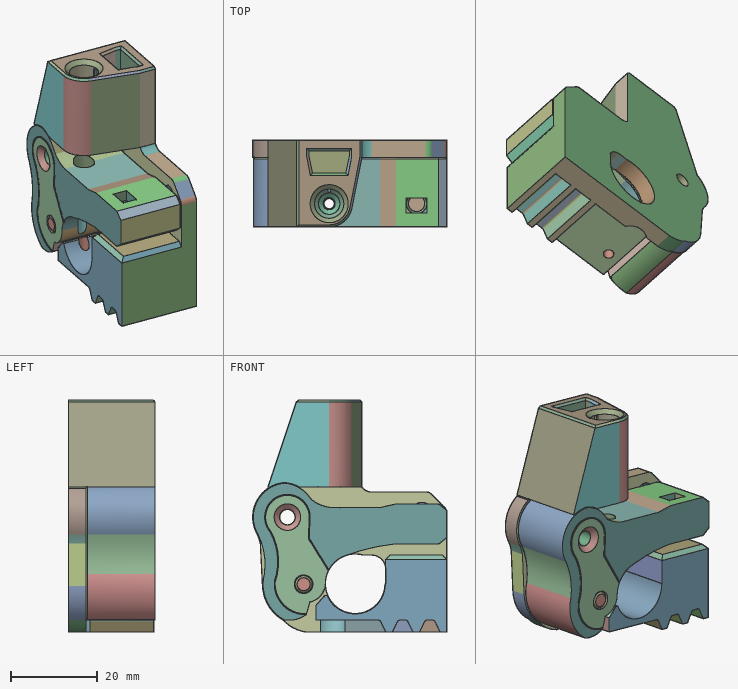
import cadquery as cq
import math

LENGTH = 44.7
DEPTH = 19.95
HEIGHT = 53.4
PLATE_THICKNESS = 4.0
PLATE_FRONT = DEPTH - PLATE_THICKNESS
CLEARANCE = 0.15

SCREW_X, SCREW_Z = 8.0, 26.4
PIN_X, PIN_Z = 11.75, 11.0
BORE_X, BORE_Z = 23.6, 11.1
FEED_X, FEED_Y = 17.6, 5.35

UPPER_RADIUS = SCREW_X
LOWER_RADIUS = 9.5
WAIST_Z = 22.35
WAIST_END = (1.75, 20.3)
FLOOR_START_X = 12.1
FLOOR_BLEND_X, FLOOR_BLEND_Z = 7.1, 2.65
PLATE_TOP = 32.25
PLATE_CHAMFER = 4.05
PLATE_CORNER_RADIUS = 1.85
STEP_FILLET_RUN = 2.3
BORE_RADIUS = 6.85
BORE_CORNER_RADIUS = 3.2
MAGNET_X, MAGNET_Z = 38.9, 27.6
MAGNET_RADIUS = 2.25
MAGNET_DEPTH = 3.0

TOWER_BASE = 33.35
TOWER_RIGHT = 25.15
TOWER_ROOT = 0.8
TOWER_TOP_LEFT = 10.2
TOWER_BASE_LEFT = 3.5
TOWER_NOSE_RADIUS = FEED_Y
TOWER_CHAMFER = 0.5
FEED_RADIUS = 3.35
FEED_MOUTH_RADIUS = 4.4
FEED_SEAT_RADIUS = 2.45
FEED_RIB_WIDTH = 0.55
FEED_RIB_HEIGHT = 0.7
FEED_RIB_DEPTH = 1.05
POCKET_BACK_WIDTH = 9.3
POCKET_FRONT_WIDTH = 7.65
POCKET_FRONT, POCKET_SHOULDER, POCKET_BACK = 12.4, 16.25, 17.5
POCKET_DEPTH = 10.7
POCKET_CHAMFER = 0.55

BLOCK_FRONT = 0.25
BLOCK_LEFT = 14.55
BLOCK_BOTTOM = 2.7
BLOCK_TOP = 17.65
BLOCK_INNER_X = 30.6
BLOCK_CHAMFER = 1.0
LIP_SIDE_TOP = 6.15
LIP_X, LIP_Z = 16.6, 8.45
BLOCK_BORE_RADIUS = 6.95
TOOTH_COUNT = 3
TOOTH_PITCH = 6.25
FIRST_TOOTH_X = 30.65
TOOTH_GROOVE_WIDTH = 4.75
TOOTH_FLANK_RUN = 1.35
TOOTH_GROOVE_FILLET = 0.55
BELT_RUNOUT = 2.65
RAIL_FRONT = 15.0
SCALLOP_X, SCALLOP_Y = 18.05, 13.15
SCALLOP_RADIUS = 3.75
FEED_EXIT_RADIUS = 1.2

LEVER_CHAMFER = 0.4
FEED_THROAT_RADIUS = 1.4
FUNNEL_BOTTOM = 23.5
SCREW_RADIUS = 1.75
SCREW_HEAD_RADIUS = 3.05
PIN_RADIUS = 2.0
PIN_TIP_CHAMFER = 0.5
PANEL_GROOVE_WIDTH = 0.2
PANEL_GROOVE_DEPTH = 0.25
PANEL_UPPER_RADIUS = 5.25
PANEL_LOWER_RADIUS = 6.8
NUT_LEFT, NUT_RIGHT = 35.35, 40.1
NUT_FRONT, NUT_BACK = 3.2, 6.65
NUT_DEPTH = 2.55
NUT_SEAT_Y = 5.4
NUT_SEAT_RADIUS = 2.35
NUT_SEAT_FLOOR_RADIUS = 1.85
ARM_TOP = 29.45
ARM_SADDLE = 28.6
ARM_BOTTOM = 20.25
ARM_TIP_X = 42.8
ARM_TIP_BEVEL = 1.5
PANEL_CORNER = (13.0, 21.55)
PANEL_BORE_POINT = (17.5, 14.35)
PANEL_BEYOND = ((21.35, 10.7), (17.1, 2.65))
TAIL_TIP = (12.35, 4.0)


def on_circle(center_x, center_y, radius, angle):
    """Point of a circle, angle in degrees counterclockwise from +X."""
    turn = math.radians(angle)
    return (center_x + radius * math.cos(turn), center_y + radius * math.sin(turn))


def tangent_point(center, radius, outside, side):
    """Where a line from an outside point touches a circle; side is 1 (counterclockwise) or -1."""
    run, rise = outside[0] - center[0], outside[1] - center[1]
    angle = math.atan2(rise, run) + side * math.acos(radius / math.hypot(run, rise))
    return on_circle(*center, radius, math.degrees(angle))


def left_of_circle(center_x, center_z, radius, z):
    """Left-hand point of a circle at height z."""
    return (center_x - math.sqrt(radius**2 - (z - center_z) ** 2), z)


def prism(outline, y_start, y_end):
    """Extrude an XZ outline from y_start back to y_end."""
    return outline.extrude(y_start - y_end).translate((0, y_start, 0))


def cross_cylinder(x, z, radius, y_start, y_end):
    """Cylinder along Y."""
    return prism(cq.Workplane("XZ").center(x, z).circle(radius), y_start, y_end)


def upright_cylinder(x, y, radius, z_start, z_end):
    """Cylinder along Z."""
    return cq.Workplane("XY").workplane(offset=z_start).center(x, y).circle(radius).extrude(z_end - z_start)


def upright_cone(x, y, z_low, radius_low, z_high, radius_high):
    """Cone frustum along Z."""
    return cq.Workplane(cq.Solid.makeCone(
        radius_low, radius_high, z_high - z_low, pnt=cq.Vector(x, y, z_low)))


def lever_outline():
    upper = UPPER_RADIUS - CLEARANCE
    lower = LOWER_RADIUS - CLEARANCE
    return (
        cq.Workplane("XZ")
        .moveTo(*left_of_circle(SCREW_X, SCREW_Z, upper, WAIST_Z))
        .threePointArc((SCREW_X - upper, SCREW_Z), on_circle(SCREW_X, SCREW_Z, upper, 95))
        .threePointArc((10.4, 33.35), (12.35, 32.0))
        .lineTo(13.7, 30.3)
        .threePointArc((15.75, 29.2), (18.25, ARM_SADDLE))
        .lineTo(29.3, ARM_SADDLE)
        .lineTo(33.0, ARM_TOP)
        .lineTo(ARM_TIP_X, ARM_TOP)
        .lineTo(LENGTH, ARM_TOP - ARM_TIP_BEVEL)
        .lineTo(LENGTH, ARM_BOTTOM + ARM_TIP_BEVEL)
        .lineTo(ARM_TIP_X, ARM_BOTTOM)
        .lineTo(32.45, ARM_BOTTOM)
        .threePointArc((26.7, 19.2), on_circle(BORE_X, BORE_Z, BORE_RADIUS, 107))
        .threePointArc(on_circle(BORE_X, BORE_Z, BORE_RADIUS, 140),
                       on_circle(BORE_X, BORE_Z, BORE_RADIUS, 176))
        .threePointArc((15.3, 8.0), (13.2, 6.9))
        .lineTo(*TAIL_TIP)
        .threePointArc((9.9, 2.9), (7.15, 2.85))
        .threePointArc(on_circle(PIN_X, PIN_Z, lower, 205),
                       left_of_circle(PIN_X, PIN_Z, lower, 13.35))
        .threePointArc((2.85, 16.55), left_of_circle(SCREW_X, SCREW_Z, upper, WAIST_Z))
        .close()
    )


def plate():
    waist = left_of_circle(SCREW_X, SCREW_Z, UPPER_RADIUS, WAIST_Z)
    chamfer_start = (LENGTH - PLATE_CHAMFER, PLATE_TOP)
    chamfer_end = (LENGTH, PLATE_TOP - PLATE_CHAMFER)
    outline = (
        cq.Workplane("XZ")
        .moveTo(*waist)
        .threePointArc((0, SCREW_Z), on_circle(SCREW_X, SCREW_Z, UPPER_RADIUS, 124))
        .lineTo(TOWER_BASE_LEFT, TOWER_BASE)
        .lineTo(FEED_X, TOWER_BASE + TOWER_ROOT)
        .lineTo(TOWER_RIGHT, TOWER_BASE + TOWER_ROOT)
        .lineTo(TOWER_RIGHT, TOWER_BASE)
        .threePointArc((26.05, 32.55), (TOWER_RIGHT + STEP_FILLET_RUN, PLATE_TOP))
        .lineTo(*chamfer_start)
        .lineTo(*chamfer_end)
        .lineTo(LENGTH, 0)
        .lineTo(FLOOR_START_X, 0)
        .threePointArc((9.9, 0.7), (FLOOR_BLEND_X, FLOOR_BLEND_Z))
        .threePointArc(on_circle(PIN_X, PIN_Z, LOWER_RADIUS, 205),
                       tangent_point((PIN_X, PIN_Z), LOWER_RADIUS, WAIST_END, 1))
        .lineTo(*WAIST_END)
        .threePointArc((1.5, 21.3), waist)
        .close()
    )
    body = prism(outline, PLATE_FRONT, DEPTH)
    for x, z in (chamfer_start, chamfer_end):
        corner_edge = cq.selectors.NearestToPointSelector((x, PLATE_FRONT + PLATE_THICKNESS / 2, z))
        body = body.edges("|Y").edges(corner_edge).fillet(PLATE_CORNER_RADIUS)
    bore = cross_cylinder(BORE_X, BORE_Z, BORE_RADIUS, PLATE_FRONT, DEPTH)
    corner = (
        cq.Workplane("XY")
        .box(BLOCK_INNER_X - BORE_X, PLATE_THICKNESS, BLOCK_TOP - BORE_Z, centered=False)
        .edges("|Y and >X and >Z").fillet(BORE_CORNER_RADIUS)
        .translate((BORE_X, PLATE_FRONT, BORE_Z))
    )
    magnet = cross_cylinder(MAGNET_X, MAGNET_Z, MAGNET_RADIUS, PLATE_FRONT, PLATE_FRONT + MAGNET_DEPTH)
    screw = cross_cylinder(SCREW_X, SCREW_Z, SCREW_RADIUS, PLATE_FRONT, DEPTH)
    return body.cut(bore).cut(corner).cut(magnet).cut(screw)


def tower_pocket():
    def outline(grow):
        wide = POCKET_BACK_WIDTH / 2 + grow
        narrow = POCKET_FRONT_WIDTH / 2 + grow
        points = [
            (FEED_X - wide, POCKET_BACK + grow),
            (FEED_X + wide, POCKET_BACK + grow),
            (FEED_X + wide, POCKET_SHOULDER),
            (FEED_X + narrow, POCKET_FRONT - grow),
            (FEED_X - narrow, POCKET_FRONT - grow),
            (FEED_X - wide, POCKET_SHOULDER),
        ]
        return cq.Wire.makePolygon([cq.Vector(x, y, 0) for x, y in points], close=True)

    shaft = cq.Workplane(outline(0)).toPending().extrude(POCKET_DEPTH)
    shaft = shaft.translate((0, 0, HEIGHT - POCKET_DEPTH))
    mouth = cq.Solid.makeLoft([
        outline(0).translate(cq.Vector(0, 0, HEIGHT - POCKET_CHAMFER)),
        outline(POCKET_CHAMFER).translate(cq.Vector(0, 0, HEIGHT)),
    ], True)
    return shaft.union(cq.Workplane(mouth))


def tower():
    side = prism(
        cq.Workplane("XZ").polyline([
            (TOWER_BASE_LEFT, TOWER_BASE),
            (TOWER_TOP_LEFT, HEIGHT),
            (TOWER_RIGHT, HEIGHT),
            (TOWER_RIGHT, TOWER_BASE),
        ]).close(), 0, DEPTH)
    flank_end = tangent_point((FEED_X, FEED_Y), TOWER_NOSE_RADIUS, (TOWER_RIGHT, PLATE_FRONT), -1)
    plan = (
        cq.Workplane("XY").workplane(offset=TOWER_BASE)
        .moveTo(0, 0)
        .lineTo(FEED_X, 0)
        .threePointArc(on_circle(FEED_X, FEED_Y, TOWER_NOSE_RADIUS, -50), flank_end)
        .lineTo(TOWER_RIGHT, PLATE_FRONT)
        .lineTo(TOWER_RIGHT, DEPTH)
        .lineTo(0, DEPTH)
        .close()
        .extrude(HEIGHT - TOWER_BASE)
    )
    body = side.intersect(plan)
    body = body.faces(">Z").edges("not >Y").chamfer(TOWER_CHAMFER)
    mouth_depth = FEED_MOUTH_RADIUS - FEED_RADIUS
    seat_top = TOWER_BASE + FEED_RADIUS - FEED_SEAT_RADIUS
    seat = upright_cone(FEED_X, FEED_Y, TOWER_BASE, FEED_SEAT_RADIUS, seat_top, FEED_RADIUS)
    bore = upright_cylinder(FEED_X, FEED_Y, FEED_RADIUS, seat_top, HEIGHT)
    mouth = upright_cone(FEED_X, FEED_Y, HEIGHT - mouth_depth, FEED_RADIUS, HEIGHT, FEED_MOUTH_RADIUS)
    lever_room = prism(lever_outline().offset2D(CLEARANCE), 0, PLATE_FRONT)
    body = body.cut(bore).cut(seat).cut(mouth).cut(tower_pocket()).cut(lever_room)
    rib = cq.Workplane("XY").box(
        FEED_RIB_WIDTH, FEED_RIB_DEPTH, HEIGHT - mouth_depth - TOWER_BASE, centered=(True, False, False))
    rib_front = FEED_Y + FEED_RADIUS - FEED_RIB_HEIGHT
    return body.union(rib.translate((FEED_X, rib_front, TOWER_BASE)))


def belt_groove(start_x, end_x):
    """Groove under the block with sloping flanks, start_x and end_x being its width at the bottom."""
    outline = cq.Workplane("XZ").polyline([
        (start_x, 0),
        (start_x + TOOTH_FLANK_RUN, BLOCK_BOTTOM),
        (end_x - TOOTH_FLANK_RUN, BLOCK_BOTTOM),
        (end_x, 0),
    ]).close()
    return prism(outline, 0, RAIL_FRONT).faces(">Z").edges("|Y").fillet(TOOTH_GROOVE_FILLET)


def toothed_block():
    base = prism(
        cq.Workplane("XZ").polyline([
            (BLOCK_LEFT, 0),
            (BLOCK_LEFT, LIP_SIDE_TOP),
            (LIP_X, LIP_Z),
            (BORE_X, LIP_Z),
            (BORE_X, BORE_Z),
            (LENGTH, BORE_Z),
            (LENGTH, 0),
        ]).close(), BLOCK_FRONT, PLATE_FRONT)
    jaw = (
        cq.Workplane("XY")
        .box(LENGTH - BLOCK_INNER_X, PLATE_FRONT - BLOCK_FRONT, BLOCK_TOP - BORE_Z, centered=False)
        .faces(">Z").edges("not >Y").chamfer(BLOCK_CHAMFER)
        .translate((BLOCK_INNER_X, BLOCK_FRONT, BORE_Z))
    )
    body = base.union(jaw)
    body = body.cut(cross_cylinder(BORE_X, BORE_Z, BLOCK_BORE_RADIUS, 0, PLATE_FRONT))
    body = body.cut(belt_groove(BLOCK_LEFT - BELT_RUNOUT, FIRST_TOOTH_X))
    for index in range(1, TOOTH_COUNT):
        groove_end = FIRST_TOOTH_X + index * TOOTH_PITCH
        body = body.cut(belt_groove(groove_end - TOOTH_GROOVE_WIDTH, groove_end))
    rail_relief = cq.Workplane("XY").box(
        SCALLOP_X - BLOCK_LEFT, PLATE_FRONT - RAIL_FRONT, BLOCK_BOTTOM, centered=False)
    body = body.cut(rail_relief.translate((BLOCK_LEFT, RAIL_FRONT, 0)))
    return body.cut(upright_cylinder(FEED_X, FEED_Y, FEED_EXIT_RADIUS, 0, BORE_Z))


def pivot_pin():
    return cross_cylinder(PIN_X, PIN_Z, PIN_RADIUS, 0, PLATE_FRONT).faces("<Y").chamfer(PIN_TIP_CHAMFER)


def make_housing():
    body = plate().union(tower()).union(toothed_block()).union(pivot_pin())
    scallop = upright_cylinder(SCALLOP_X, SCALLOP_Y, SCALLOP_RADIUS, 0, BLOCK_BOTTOM)
    return body.cut(scallop)


def panel_outline():
    return (
        cq.Workplane("XZ")
        .moveTo(*on_circle(SCREW_X, SCREW_Z, PANEL_UPPER_RADIUS, 220))
        .threePointArc(on_circle(SCREW_X, SCREW_Z, PANEL_UPPER_RADIUS, 90),
                       on_circle(SCREW_X, SCREW_Z, PANEL_UPPER_RADIUS, -2))
        .lineTo(*PANEL_CORNER)
        .lineTo(*PANEL_BORE_POINT)
        .lineTo(*PANEL_BEYOND[0])
        .lineTo(*PANEL_BEYOND[1])
        .lineTo(*TAIL_TIP)
        .threePointArc(on_circle(PIN_X, PIN_Z, PANEL_LOWER_RADIUS, 225),
                       on_circle(PIN_X, PIN_Z, PANEL_LOWER_RADIUS, 175))
        .threePointArc((5.75, 16.55), on_circle(SCREW_X, SCREW_Z, PANEL_UPPER_RADIUS, 220))
        .close()
    )


def panel_groove():
    outer = prism(panel_outline(), 0, PANEL_GROOVE_DEPTH)
    inner = prism(panel_outline().offset2D(-PANEL_GROOVE_WIDTH), 0, PANEL_GROOVE_DEPTH)
    return outer.cut(inner)


def feed_funnel():
    outline = cq.Workplane("XZ").polyline([
        (0, 0),
        (FEED_THROAT_RADIUS, 0),
        (FEED_THROAT_RADIUS, FUNNEL_BOTTOM),
        (FEED_SEAT_RADIUS, FUNNEL_BOTTOM + FEED_SEAT_RADIUS - FEED_THROAT_RADIUS),
        (FEED_SEAT_RADIUS, TOWER_BASE),
        (0, TOWER_BASE),
    ]).close()
    return outline.revolve(360, (0, 0), (0, 1)).translate((FEED_X, FEED_Y, 0))


def nut_pocket():
    floor = ARM_TOP - NUT_DEPTH
    seat_depth = NUT_SEAT_RADIUS - NUT_SEAT_FLOOR_RADIUS
    width = NUT_RIGHT - NUT_LEFT
    length = NUT_BACK - NUT_FRONT
    pocket = cq.Workplane("XY").box(width, length, NUT_DEPTH, centered=False)
    pocket = pocket.translate((NUT_LEFT, NUT_FRONT, floor))
    column = cq.Workplane("XY").box(width, length, ARM_TOP, centered=False)
    column = column.translate((NUT_LEFT, NUT_FRONT, 0))
    seat = upright_cone((NUT_LEFT + NUT_RIGHT) / 2, NUT_SEAT_Y, floor - seat_depth,
                        NUT_SEAT_FLOOR_RADIUS, floor, NUT_SEAT_RADIUS)
    return pocket.union(seat.intersect(column))


def make_lever():
    body = prism(lever_outline(), 0, PLATE_FRONT - LEVER_CHAMFER)
    bevel = lever_outline().extrude(-LEVER_CHAMFER, taper=45)
    body = body.union(bevel.translate((0, PLATE_FRONT - LEVER_CHAMFER, 0)))
    head_depth = SCREW_HEAD_RADIUS - SCREW_RADIUS
    head = cq.Workplane(cq.Solid.makeCone(
        SCREW_HEAD_RADIUS, SCREW_RADIUS, head_depth,
        pnt=cq.Vector(SCREW_X, 0, SCREW_Z), dir=cq.Vector(0, 1, 0)))
    body = body.cut(cross_cylinder(SCREW_X, SCREW_Z, SCREW_RADIUS, 0, PLATE_FRONT)).cut(head)
    body = body.cut(cross_cylinder(PIN_X, PIN_Z, PIN_RADIUS + CLEARANCE, 0, PLATE_FRONT))
    return body.cut(panel_groove()).cut(feed_funnel()).cut(nut_pocket())


housing = make_housing()
lever = make_lever()
result = cq.Compound.makeCompound([housing.val(), lever.val()])